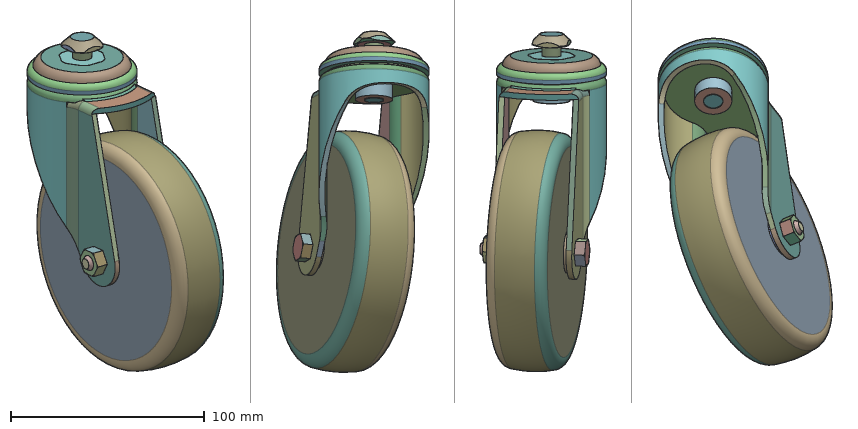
import cadquery as cq
import math


WHEEL_RADIUS = 62.5
WHEEL_WIDTH = 32.0
TREAD_WIDTH = 21.0
TREAD_EDGE_RADIUS = 61.5
WHEEL_FACE_RADIUS = 54.6
HUB_BASE_RADIUS = 11.0
HUB_END_RADIUS = 10.0

TRAIL = 40.0
SWIVEL_X = -TRAIL
SHEET = 3.0
FORK_RADIUS = 28.5
LEG_OUTER_Y = 21.0
LEG_INNER_Y = LEG_OUTER_Y - SHEET
LEG_BLEND_RADIUS = 12.0
LEG_END_RADIUS = 14.0
LEG_FRONT_NORMAL = math.radians(212)
LEG_REAR_NORMAL = math.radians(14)
FORK_LIP_Z = 75.0
FORK_LIP_FILLET = 20.0
PLATE_TOP_Z = 82.3
PLATE_BOTTOM_Z = PLATE_TOP_Z - SHEET
PLATE_END_RADIUS = TRAIL
PLATE_EDGE_FILLET = 4.0
DOME_TOP_Z = 84.5
DOME_FILLET = 3.5
DOME_EDGE_Z = DOME_TOP_Z - DOME_FILLET
PLATE_INSET = 1.0
FLARE_RADIUS = 29.6
FLARE_TOP_RADIUS = 27.9
FLARE_HEIGHT = 0.7

CAP_BOTTOM_Z = 85.5
CAP_RIM_TOP_Z = 87.6
CAP_BEVEL_Z = 89.2
CAP_STEP_Z = 90.8
CAP_TOP_Z = 95.25
CAP_RADIUS = FORK_RADIUS
CAP_BEVEL_RADIUS = 27.9
CAP_STEP_RADIUS = 25.5
CAP_TOP_RADIUS = 21.3
CAP_BULGE = 0.6
NECK_RADIUS = 24.5
RIVET_RADIUS = 9.6
RIVET_BOTTOM_Z = 71.7

STEM_RADIUS = 5.0
STEM_BOTTOM_Z = 71.3
HEX_FLATS = 22.7
HEX_CORNER_RADIUS = 12.1
HEX_RISE = 0.1
HEAD_TOP_Z = 106.66
HEAD_BOTTOM_Z = 100.9
HEAD_SQUARE = 18.3
HEAD_TOP_RADIUS = 6.1
HEAD_CORNER_RADIUS = 10.9
HEAD_CONE_DEPTH = 4.6
HEAD_UNDERSIDE_RADIUS = 8.6
HEAD_UNDERSIDE_DEPTH = 0.8

AXLE_RADIUS = 4.0
AXLE_END_Y = -29.5
AXLE_TIP_RADIUS = 2.75
NUT_FLATS = 13.0
NUT_CORNER_CUT_RADIUS = 7.4
NUT_BEVEL = 0.5
NUT_OUTER_Y = 27.4
BOLT_HEAD_OUTER_Y = 26.5

CUT_MARGIN = 50.0
ANGLE_TOLERANCE = 0.01


def disc(x, radius, z_bottom, z_top):
    """Vertical cylinder centred at (x, 0)."""
    return cq.Workplane("XY", origin=(x, 0, z_bottom)).circle(radius).extrude(z_top - z_bottom)


def hexagon(plane, flats):
    """Hexagon with the given distance across its flats and two corners on the local X axis."""
    return cq.Workplane(plane).polygon(6, flats / math.cos(math.pi / 6))


def swivel_revolve(profile):
    """Revolve an XZ profile, drawn about the Z axis, and move it to the swivel axis."""
    return profile.close().revolve(360, (0, 0, 0), (0, 1, 0)).translate((SWIVEL_X, 0, 0))


def make_wheel():
    """Wheel with a crowned tread, rounded shoulders and a raised hub on each side."""
    half = WHEEL_WIDTH / 2
    tread = TREAD_WIDTH / 2
    diagonal = math.sqrt(0.5)
    shoulder_mid = (
        WHEEL_FACE_RADIUS + (TREAD_EDGE_RADIUS - WHEEL_FACE_RADIUS) * diagonal,
        tread + (half - tread) * diagonal,
    )
    return (
        cq.Workplane("XY")
        .moveTo(0, -LEG_INNER_Y)
        .lineTo(HUB_END_RADIUS, -LEG_INNER_Y)
        .lineTo(HUB_BASE_RADIUS, -half)
        .lineTo(WHEEL_FACE_RADIUS, -half)
        .threePointArc((shoulder_mid[0], -shoulder_mid[1]), (TREAD_EDGE_RADIUS, -tread))
        .threePointArc((WHEEL_RADIUS, 0), (TREAD_EDGE_RADIUS, tread))
        .threePointArc(shoulder_mid, (WHEEL_FACE_RADIUS, half))
        .lineTo(HUB_BASE_RADIUS, half)
        .lineTo(HUB_END_RADIUS, LEG_INNER_Y)
        .lineTo(0, LEG_INNER_Y)
        .close()
        .revolve(360, (0, 0, 0), (0, 1, 0))
    )


def blend_centre():
    """Centre of the +Y concave blend between the round front and the straight side."""
    y = LEG_OUTER_Y + LEG_BLEND_RADIUS
    return (SWIVEL_X + math.sqrt((FORK_RADIUS + LEG_BLEND_RADIUS) ** 2 - y**2), y)


def blend_contact(radius):
    """Point on the ray from the swivel axis to the blend centre, at a radius about that axis."""
    x, y = blend_centre()
    scale = radius / (FORK_RADIUS + LEG_BLEND_RADIUS)
    return (SWIVEL_X + (x - SWIVEL_X) * scale, y * scale)


def fork_plan(inset, z_bottom, z_top):
    """Solid with the fork's plan, inset all round: a round front blended into two parallel sides."""
    radius = FORK_RADIUS - inset
    side_y = LEG_OUTER_Y - inset
    blend = LEG_BLEND_RADIUS + inset
    blend_x, blend_y = blend_centre()
    contact_x, contact_y = blend_contact(radius)
    blend_start = math.atan2(contact_y - blend_y, contact_x - blend_x)
    blend_end = -math.pi / 2
    mid_angle = (blend_start + blend_end) / 2
    mid_x = blend_x + blend * math.cos(mid_angle)
    mid_y = blend_y + blend * math.sin(mid_angle)
    return (
        cq.Workplane("XY", origin=(0, 0, z_bottom))
        .moveTo(CUT_MARGIN, -side_y)
        .lineTo(blend_x, -side_y)
        .threePointArc((mid_x, -mid_y), (contact_x, -contact_y))
        .threePointArc((SWIVEL_X - radius, 0), (contact_x, contact_y))
        .threePointArc((mid_x, mid_y), (blend_x, side_y))
        .lineTo(CUT_MARGIN, side_y)
        .close()
        .extrude(z_top - z_bottom)
    )


def leg_edge_point(normal, z):
    """Point at height z on the straight leg edge tangent to the rounded leg end."""
    return ((LEG_END_RADIUS - z * math.sin(normal)) / math.cos(normal), z)


def leg_end_point(angle):
    """Point on the rounded leg end at an angle from the X axis."""
    return (LEG_END_RADIUS * math.cos(angle), LEG_END_RADIUS * math.sin(angle))


def fork_side_outline():
    """Fork side outline: tapered legs with a round end, and a curve up to the front lip."""
    lip_corner = leg_edge_point(LEG_FRONT_NORMAL, FORK_LIP_Z)
    legs = (
        cq.Workplane("XZ")
        .moveTo(*leg_end_point(LEG_FRONT_NORMAL))
        .threePointArc((0, -LEG_END_RADIUS), leg_end_point(LEG_REAR_NORMAL))
        .lineTo(*leg_edge_point(LEG_REAR_NORMAL, PLATE_BOTTOM_Z))
        .lineTo(CUT_MARGIN, PLATE_BOTTOM_Z)
        .lineTo(CUT_MARGIN, PLATE_TOP_Z)
        .lineTo(SWIVEL_X - CUT_MARGIN, PLATE_TOP_Z)
        .lineTo(SWIVEL_X - CUT_MARGIN, FORK_LIP_Z)
        .lineTo(*lip_corner)
        .close()
        .extrude(CUT_MARGIN, both=True)
    )
    lip_edge = cq.selectors.NearestToPointSelector((lip_corner[0], 0, lip_corner[1]))
    return legs.edges("|Y").edges(lip_edge).fillet(FORK_LIP_FILLET)


def make_walls():
    """Front wall and legs: outer faces thickened inwards, keeping cut edges square to the sheet."""
    trimmed = fork_plan(0, -CUT_MARGIN, DOME_EDGE_Z).intersect(fork_side_outline())
    walls = cq.Workplane("XY")
    for face in trimmed.faces().vals():
        is_leg = cq.Plane.XZ().zDir.cross(face.normalAt()).Length < ANGLE_TOLERANCE
        is_curved_wall = face.geomType() == "CYLINDER" and face.BoundingBox().zmax > PLATE_BOTTOM_Z
        if is_leg or is_curved_wall:
            walls = walls.add(face.thicken(-SHEET))
    return walls.combine()


def make_dome():
    """Domed swivel seat over the fork's round front, flaring out onto the top plate."""
    dome = disc(SWIVEL_X, FORK_RADIUS, DOME_EDGE_Z - SHEET, DOME_TOP_Z)
    dome = dome.faces(">Z").edges().fillet(DOME_FILLET)
    dome = dome.cut(disc(SWIVEL_X, CUT_MARGIN, DOME_EDGE_Z - SHEET, DOME_EDGE_Z))
    flare_top_z = PLATE_TOP_Z + FLARE_HEIGHT
    flare = swivel_revolve(
        cq.Workplane("XZ")
        .moveTo(NECK_RADIUS, PLATE_TOP_Z)
        .lineTo(FLARE_RADIUS, PLATE_TOP_Z)
        .lineTo(FLARE_TOP_RADIUS, flare_top_z)
        .lineTo(NECK_RADIUS, flare_top_z)
    )
    return dome.union(flare.intersect(fork_plan(PLATE_EDGE_FILLET, PLATE_TOP_Z, flare_top_z)))


def make_edge_trim():
    """Material outside the rounded upper edges, along the blends and legs only."""
    block = fork_plan(0, -CUT_MARGIN, PLATE_TOP_Z)
    waste = block.cut(block.faces(">Z").edges("not(>X)").fillet(PLATE_EDGE_FILLET))
    contact_x = blend_contact(FORK_RADIUS)[0]
    behind = cq.Workplane("XY").box(
        2 * CUT_MARGIN, 2 * CUT_MARGIN, 2 * PLATE_TOP_Z, centered=(False, True, True)
    )
    return waste.intersect(behind.translate((contact_x, 0, 0)))


def make_fork():
    """Sheet-metal fork: top plate, front wall and two legs, with a domed swivel seat."""
    plate = fork_plan(PLATE_INSET, PLATE_BOTTOM_Z, PLATE_TOP_Z)
    sheet = plate.union(make_walls()).cut(make_edge_trim())
    beyond_plate = disc(SWIVEL_X, 2 * CUT_MARGIN, PLATE_BOTTOM_Z, PLATE_TOP_Z)
    beyond_plate = beyond_plate.cut(disc(SWIVEL_X, PLATE_END_RADIUS, PLATE_BOTTOM_Z, PLATE_TOP_Z))
    return sheet.cut(beyond_plate).union(make_dome())


def make_swivel_head():
    """Stepped cap on a short neck, with the rivet end hanging inside the fork."""
    bulge_point = (
        (CAP_STEP_RADIUS + CAP_TOP_RADIUS) / 2 + CAP_BULGE,
        (CAP_STEP_Z + CAP_TOP_Z) / 2 + CAP_BULGE,
    )
    cap = swivel_revolve(
        cq.Workplane("XZ")
        .moveTo(0, CAP_BOTTOM_Z)
        .lineTo(CAP_RADIUS, CAP_BOTTOM_Z)
        .lineTo(CAP_RADIUS, CAP_RIM_TOP_Z)
        .threePointArc((CAP_BEVEL_RADIUS, CAP_BEVEL_Z), (CAP_STEP_RADIUS, CAP_STEP_Z))
        .threePointArc(bulge_point, (CAP_TOP_RADIUS, CAP_TOP_Z))
        .lineTo(0, CAP_TOP_Z)
    )
    neck = disc(SWIVEL_X, NECK_RADIUS, PLATE_BOTTOM_Z, CAP_BOTTOM_Z)
    rivet = disc(SWIVEL_X, RIVET_RADIUS, RIVET_BOTTOM_Z, PLATE_BOTTOM_Z)
    return cap.union(neck).union(rivet)


def make_mounting_bolt():
    """Stem with a coned square head, rising from a hexagon barely proud of the cap."""
    stem = disc(SWIVEL_X, STEM_RADIUS, STEM_BOTTOM_Z, HEAD_BOTTOM_Z)
    cone_bottom_z = HEAD_TOP_Z - HEAD_CONE_DEPTH
    head = swivel_revolve(
        cq.Workplane("XZ")
        .moveTo(0, HEAD_BOTTOM_Z)
        .lineTo(HEAD_UNDERSIDE_RADIUS, HEAD_BOTTOM_Z)
        .lineTo(HEAD_CORNER_RADIUS, HEAD_BOTTOM_Z + HEAD_UNDERSIDE_DEPTH)
        .lineTo(HEAD_CORNER_RADIUS, cone_bottom_z)
        .lineTo(HEAD_TOP_RADIUS, HEAD_TOP_Z)
        .lineTo(0, HEAD_TOP_Z)
    )
    square = (
        cq.Workplane("XY", origin=(SWIVEL_X, 0, HEAD_BOTTOM_Z))
        .rect(HEAD_SQUARE, HEAD_SQUARE)
        .extrude(HEAD_TOP_Z - HEAD_BOTTOM_Z)
    )
    hexagon_pad = (
        hexagon("XY", HEX_FLATS)
        .extrude(HEX_RISE)
        .rotate((0, 0, 0), (0, 0, 1), 90)
        .translate((SWIVEL_X, 0, CAP_TOP_Z))
        .intersect(disc(SWIVEL_X, HEX_CORNER_RADIUS, CAP_TOP_Z, CAP_TOP_Z + HEX_RISE))
    )
    return stem.union(head.intersect(square)).union(hexagon_pad)


def make_axle_nut(height):
    """Hexagon from the -Y leg outwards, with the corners of its outer face bevelled."""
    bevelled = (
        cq.Workplane("XZ")
        .circle(NUT_CORNER_CUT_RADIUS + NUT_BEVEL)
        .extrude(height)
        .faces("<Y")
        .chamfer(NUT_BEVEL, 2 * NUT_BEVEL)
    )
    nut = hexagon("XZ", NUT_FLATS).extrude(height).intersect(bevelled)
    return nut.translate((0, -LEG_OUTER_Y, 0))


def make_axle():
    """Axle bolt with its head on the +Y leg and its nut on the -Y leg."""
    shank = (
        cq.Workplane("XZ", origin=(0, LEG_OUTER_Y, 0))
        .circle(AXLE_RADIUS)
        .extrude(LEG_OUTER_Y - AXLE_END_Y)
        .faces("<Y")
        .chamfer(-AXLE_END_Y - NUT_OUTER_Y, AXLE_RADIUS - AXLE_TIP_RADIUS)
    )
    nut = make_axle_nut(NUT_OUTER_Y - LEG_OUTER_Y)
    bolt_head = make_axle_nut(BOLT_HEAD_OUTER_Y - LEG_OUTER_Y).mirror("XZ")
    return shank.union(nut).union(bolt_head)


result = make_fork()
for component in (make_swivel_head(), make_mounting_bolt(), make_wheel(), make_axle()):
    result = result.union(component)